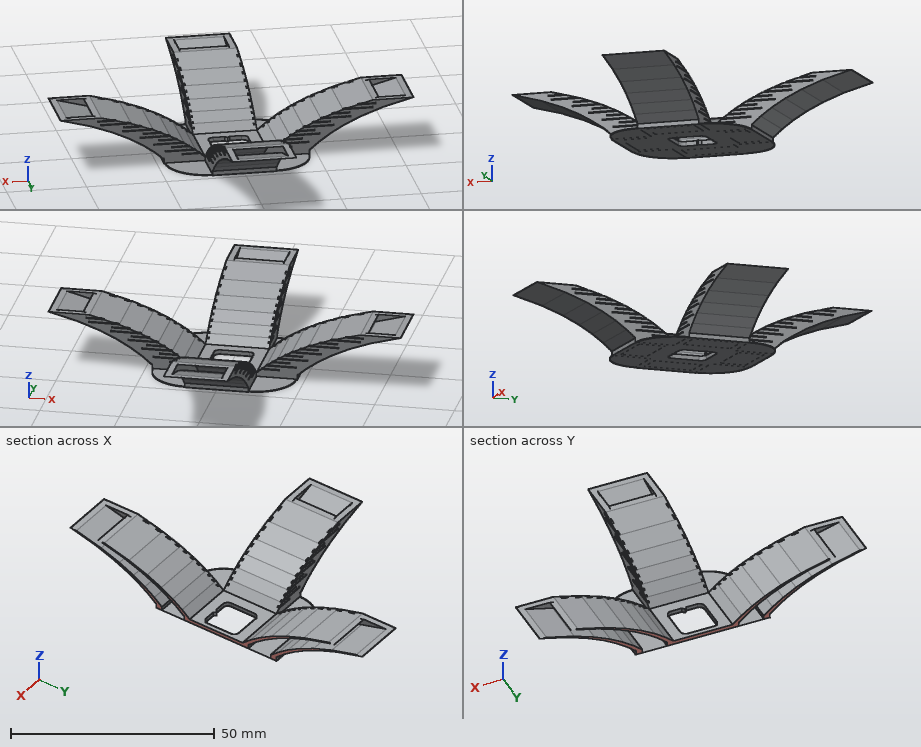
import cadquery as cq
import math

SPAN = 88.4
HEIGHT = 13.2
ARM_WIDTH = 16.0
WALL = 1.8

PLATE_SIZE = 36.0
PLATE_CORNER_RADIUS = 9.9
PLATE_THICKNESS = 0.2
WINDOW_SIZE = 9.9
WINDOW_RADIUS = 1.4
TOOTH_WIDTH = 1.2
TOOTH_HEIGHT = 0.7

FOOT_HEIGHT = 1.15
LEAN_ANGLES = range(50, 80, 5)

SLOT_HEIGHT = 0.2
SLOT_DEPTH = 0.5
LONG_SLOT = 7.5
SHORT_SLOT = 4.5

rise = (HEIGHT - FOOT_HEIGHT) / len(LEAN_ANGLES)
runs = [rise * math.tan(math.radians(angle)) for angle in LEAN_ANGLES]
root = ARM_WIDTH / 2
arm_thickness = SPAN / 2 - root - sum(runs)


def upper_face_points():
    """Bend points (x, z) of the arm's upper face, from root to tip."""
    points = [(root, FOOT_HEIGHT)]
    for run in runs:
        x, z = points[-1]
        points.append((x + run, z + rise))
    return points


def leaning_bar(inset, bottom, width):
    """Bar along +X whose every level is the arm section inset from both faces."""
    bends = upper_face_points()
    inner = [(root + inset, bottom)] + [(x + inset, z) for x, z in bends]
    reach = arm_thickness - inset
    outer = [(root + reach, bottom)] + [(x + reach, z) for x, z in bends]
    outline = cq.Workplane("XZ").polyline(inner + outer[::-1]).close()
    return outline.extrude(width / 2, both=True)


def side_slots():
    """Slots in both sides of the +X arm, open to its upper face."""
    bends = upper_face_points()
    slots = cq.Workplane("XY")
    for index, run in enumerate(runs):
        x, z = bends[index]
        levels = [(x + run / 2, z + rise / 2, SHORT_SLOT)]
        if index > 0:
            levels.append((x, z, LONG_SLOT))
        for face_x, level, length in levels:
            for side in (-1, 1):
                slots = slots.union(
                    cq.Workplane("XY")
                    .box(length, 2 * SLOT_DEPTH, SLOT_HEIGHT, centered=(False, True, False))
                    .translate((face_x, side * ARM_WIDTH / 2, level))
                )
    return slots


def hollow_arm():
    """Arm along +X, open at the tip and closed below by the plate."""
    arm = leaning_bar(0, 0, ARM_WIDTH)
    hollow = leaning_bar(WALL, PLATE_THICKNESS, ARM_WIDTH - 2 * WALL)
    return arm.cut(hollow).cut(side_slots())


def base_plate():
    """Thin square plate with broad round corners between the arms."""
    return (
        cq.Workplane("XY")
        .rect(PLATE_SIZE, PLATE_SIZE)
        .extrude(PLATE_THICKNESS)
        .edges("|Z")
        .fillet(PLATE_CORNER_RADIUS)
    )


def deck():
    """Raised square between the arms, level with the foot of their upper faces."""
    return cq.Workplane("XY").rect(ARM_WIDTH, ARM_WIDTH).extrude(FOOT_HEIGHT)


def window():
    """Rounded square opening with a pointed tooth left standing on one edge."""
    opening = (
        cq.Workplane("XY")
        .rect(WINDOW_SIZE, WINDOW_SIZE)
        .extrude(FOOT_HEIGHT)
        .edges("|Z")
        .fillet(WINDOW_RADIUS)
    )
    edge_y = -WINDOW_SIZE / 2
    half_tooth = TOOTH_WIDTH / 2
    tooth = (
        cq.Workplane("XY")
        .polyline([(-half_tooth, edge_y), (half_tooth, edge_y), (0, edge_y + TOOTH_HEIGHT)])
        .close()
        .extrude(FOOT_HEIGHT)
    )
    return opening.cut(tooth)


result = base_plate().union(deck())
arm = hollow_arm()
for quarter in range(4):
    result = result.union(arm.rotate((0, 0, 0), (0, 0, 1), 90 * quarter))
result = result.cut(window())